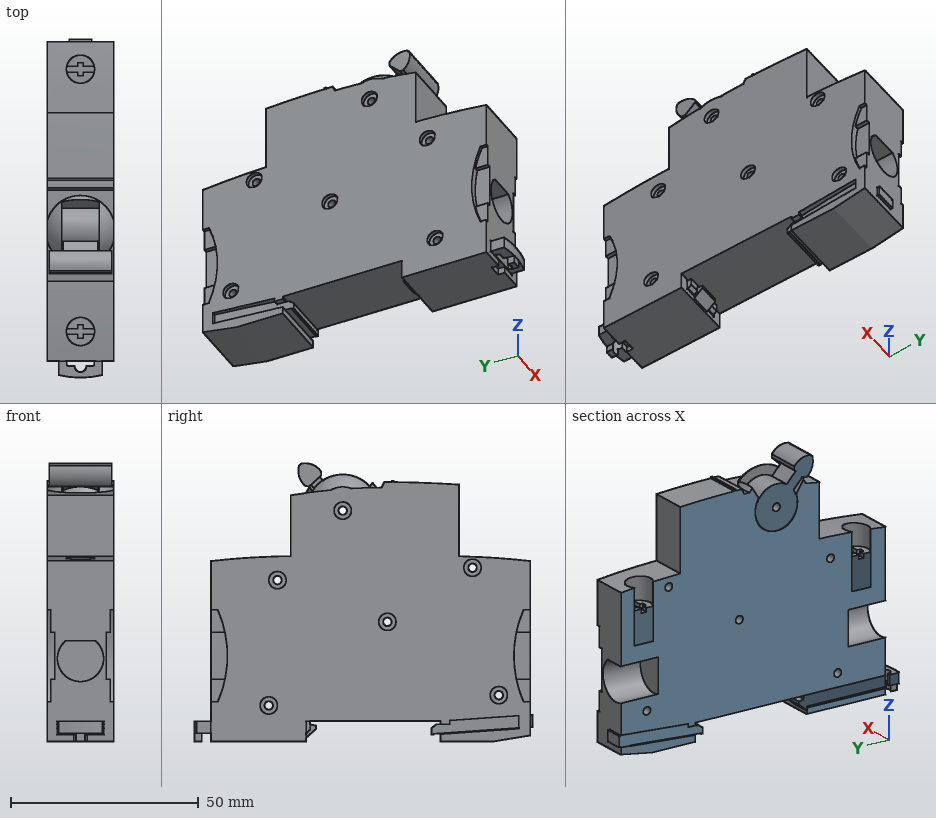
import cadquery as cq

module_width = 17.7
housing_length = 85.0
half_length = housing_length / 2

end_wall_top = 48.1
shoulder_z = 49.4
shoulder_rise_z = 48.95
rear_step_y = 23.55
front_step_y = -21.3
front_strip_y = -rear_step_y
nose_rear_z = 68.45
nose_crest_z = 69.15
nose_crest_y = 3.6
toggle_deck_y = 2.9
toggle_deck_z = 67.65
nose_front_z = 65.6
nose_crown = 0.15
deck_crown = 0.45
rail_rear_y = 18.56
rail_front_y = -17.2
rail_ceiling_z = 5.48
heel_rise_z = 1.65
heel_start_y = 32.4

ridge_y = 5.9
ridge_width = 0.5
ridge_top_z = 69.5

grip_center_z = 22.85
grip_half_height = 12.25
grip_edge_depth_y = 1.8
grip_mid_depth_y = 4.4
grip_core_half_height = 6.25
grip_outer_depth = 0.9
grip_core_depth = 2.0

entry_radius = 6.15
entry_center_z = 22.15
entry_flat_z = 26.9
entry_depth = 12.0
screw_radius = 3.75
screw_height = 10.0
screw_top_z = 42.0
screw_slot_depth = 1.2
cross_width = 1.4
cross_length = 3.5
screws = [(35.15, 1.58), (-34.65, 1.35)]

pivot_y = -7.43
pivot_z = 61.5
rivet_hole_radius = 1.1
rivet_recess_radius = 2.3
rivet_recess_depth = 1.2
rivets = [
    (pivot_y, pivot_z),
    (27.1, 46.3),
    (-24.8, 43.0),
    (4.45, 31.9),
    (34.1, 12.4),
    (-27.1, 9.65),
]

dome_radius = 10.87
slot_width = 10.0
hub_radius = 6.7
slot_wall_run = 0.63
slot_rear_mouth = (7.86, 7.4)
slot_front_mouth = (-8.8, 6.3)
slot_height = 12.0

toggle_angle = 47.2
neck_width = 9.2
neck_thickness = 3.2
handle_width = 16.7
handle_base = 10.75
handle_base_half = 2.2
handle_shoulder = 11.5
handle_shoulder_half = 2.85
handle_side = 14.6
handle_side_half = 2.35
handle_tip = 16.7
handle_tip_half = 0.4

latch_width = 11.7
latch_bottom_z = 2.22
latch_front_y = -46.93
latch_front_sag = 0.7
latch_tip_y = -16.13
latch_tip_bevel = 1.0
latch_channel_width = 12.4
latch_channel_bottom_z = 1.9
notch_width = 7.3
notch_end_y = -43.8
notch_corner_radius = 0.5
thumb_notch_radius = 1.5
thumb_notch_end_y = -45.4
latch_tab_width = 2.48
latch_tab_length = 2.0
tab_groove_width = 3.54
hook_width = 6.0
hook_nose_y = -14.5
hook_nose_top_z = 4.3
hook_nose_bottom_z = 3.4
hook_top_z = 4.64
hook_bottom_z = 1.0

clip_rear_y = 39.46
clip_rear_top_z = 6.95
clip_rear_bottom_z = 3.65
clip_slope = 0.07
clip_floor_gap = 0.12
clip_step_y = 21.0
clip_arm_top_z = 4.68
clip_arm_end_y = 17.5
clip_nose_y = 16.14
clip_nose_top_z = 3.6
clip_nose_bottom_z = 1.9
clip_nose_lip = 0.6
clip_tab_width = 6.1
clip_tab_y = 43.12
clip_bends = [(clip_rear_y, 7.9), (34.2, 7.75), (29.2, 7.7), (25.7, 7.5), (clip_nose_y, 7.2)]


def side_plate(outline, width):
    """Extrude a closed (Y, Z) outline symmetrically about the mid plane X = 0."""
    return outline.close().extrude(width / 2, both=True)


def side_outline(start):
    return cq.Workplane("YZ").moveTo(*start)


def polygon_plate(points, width):
    return cq.Workplane("YZ").polyline(points).close().extrude(width / 2, both=True)


def cross_cylinder(y, z, radius, width):
    """Cylinder along X, centred on the mid plane."""
    return cq.Workplane("YZ").center(y, z).circle(radius).extrude(width / 2, both=True)


def block(x_size, y_range, z_range):
    """Box centred on X = 0 between two Y limits and two Z limits."""
    y_low, y_high = y_range
    z_low, z_high = z_range
    box = cq.Workplane("XY").box(x_size, y_high - y_low, z_high - z_low, centered=(True, False, False))
    return box.translate((0, y_low, z_low))


def clip_top_z(y):
    return clip_rear_top_z + clip_slope * (y - clip_rear_y)


def clip_bottom_z(y):
    return clip_rear_bottom_z + clip_slope * (y - clip_rear_y)


def housing_shell():
    shoulder_mid_y = (half_length + rear_step_y) / 2
    nose_mid_y = (rear_step_y + nose_crest_y) / 2
    nose_mid_z = (nose_rear_z + nose_crest_z) / 2 + nose_crown
    deck_mid_y = (toggle_deck_y + front_step_y) / 2
    deck_mid_z = (toggle_deck_z + nose_front_z) / 2 + deck_crown
    outline = (
        side_outline((half_length, heel_rise_z))
        .lineTo(half_length, end_wall_top)
        .threePointArc((shoulder_mid_y, shoulder_rise_z), (rear_step_y, shoulder_z))
        .lineTo(rear_step_y, nose_rear_z)
        .threePointArc((nose_mid_y, nose_mid_z), (nose_crest_y, nose_crest_z))
        .lineTo(toggle_deck_y, toggle_deck_z)
        .threePointArc((deck_mid_y, deck_mid_z), (front_step_y, nose_front_z))
        .lineTo(front_step_y, shoulder_z)
        .lineTo(front_strip_y, shoulder_z)
        .threePointArc((-shoulder_mid_y, shoulder_rise_z), (-half_length, end_wall_top))
        .lineTo(-half_length, 0)
        .lineTo(rail_front_y, 0)
        .lineTo(rail_front_y, rail_ceiling_z)
        .lineTo(rail_rear_y, rail_ceiling_z)
        .lineTo(rail_rear_y, 0)
        .lineTo(heel_start_y, 0)
    )
    ridge = block(
        module_width,
        (ridge_y - ridge_width / 2, ridge_y + ridge_width / 2),
        (nose_rear_z, ridge_top_z),
    )
    return side_plate(outline, module_width).union(ridge)


def dome():
    ball = cq.Workplane("XY").sphere(dome_radius).translate((0, pivot_y, pivot_z))
    keep = block(
        module_width,
        (pivot_y - dome_radius, pivot_y + dome_radius),
        (pivot_z, pivot_z + dome_radius),
    )
    return ball.intersect(keep)


def toggle_slot():
    """Hub bore with a flared mouth above it."""
    rear_y, rear_z = slot_rear_mouth
    front_y, front_z = slot_front_mouth
    top_points = [
        (rear_y + slot_wall_run * (slot_height - rear_z), slot_height),
        (front_y - slot_wall_run * (slot_height - front_z), slot_height),
    ]
    bottom_points = [
        (front_y + slot_wall_run * front_z, 0),
        (rear_y - slot_wall_run * rear_z, 0),
    ]
    mouth = polygon_plate(top_points + bottom_points, slot_width).translate((0, pivot_y, pivot_z))
    return mouth.union(cross_cylinder(pivot_y, pivot_z, hub_radius, slot_width))


def grip_pair(end):
    """Stepped, arc-backed recesses in both side faces at one end (end = +1 or -1)."""
    edge_y = end * (half_length - grip_edge_depth_y)
    mid_y = end * (half_length - grip_mid_depth_y)
    wall_y = end * half_length
    top_z = grip_center_z + grip_half_height
    bottom_z = grip_center_z - grip_half_height
    outline = (
        side_outline((wall_y, top_z))
        .lineTo(edge_y, top_z)
        .threePointArc((mid_y, grip_center_z), (edge_y, bottom_z))
        .lineTo(wall_y, bottom_z)
    )
    arc_plate = side_plate(outline, module_width)
    core_band = block(
        module_width,
        (-half_length, half_length),
        (grip_center_z - grip_core_half_height, grip_center_z + grip_core_half_height),
    )
    edge_web = arc_plate.intersect(
        block(module_width - 2 * grip_outer_depth, (-half_length, half_length), (bottom_z, top_z))
    )
    core_web = arc_plate.intersect(
        block(module_width - 2 * grip_core_depth, (-half_length, half_length), (bottom_z, top_z))
    )
    outer_recess = arc_plate.cut(edge_web)
    core_recess = arc_plate.intersect(core_band).cut(core_web)
    return outer_recess.union(core_recess)


def cable_entry(end):
    """Round blind hole with a flat roof, entering one end wall (end = +1 or -1)."""
    inner_y = end * (half_length - entry_depth)
    y_range = sorted((inner_y, end * half_length))
    bore = (
        cq.Workplane("XZ", origin=(0, y_range[1], entry_center_z))
        .circle(entry_radius)
        .extrude(entry_depth)
    )
    return bore.intersect(block(module_width, y_range, (entry_center_z - entry_radius, entry_flat_z)))


def screw_well(y):
    bottom_z = screw_top_z - screw_height
    return (
        cq.Workplane("XY", origin=(0, y, bottom_z))
        .circle(screw_radius)
        .extrude(shoulder_z - bottom_z)
    )


def rivet_hole(y, z):
    """Through hole with a shallow round recess on each side face."""
    recess = cross_cylinder(y, z, rivet_recess_radius, module_width)
    web = cross_cylinder(y, z, rivet_recess_radius, module_width - 2 * rivet_recess_depth)
    bore = cross_cylinder(y, z, rivet_hole_radius, module_width)
    return recess.cut(web).union(bore)


def latch_channel():
    y_range = (-half_length, rail_front_y)
    channel = block(latch_channel_width, y_range, (latch_channel_bottom_z, rail_ceiling_z))
    groove = block(
        tab_groove_width,
        (-half_length, -half_length + latch_tab_length),
        (0, latch_channel_bottom_z),
    )
    return channel.union(groove)


def clip_cavity():
    """Slot through the housing that opens into the rail recess."""
    return polygon_plate(
        [
            (clip_rear_y, clip_rear_top_z),
            (clip_step_y, clip_top_z(clip_step_y)),
            (clip_step_y, clip_arm_top_z),
            (rail_rear_y, clip_arm_top_z),
            (rail_rear_y, clip_bottom_z(rail_rear_y) - clip_floor_gap),
            (clip_rear_y, clip_rear_bottom_z - clip_floor_gap),
        ],
        module_width,
    )


def clip_tab():
    """Tail of the clip, running out through the end wall."""
    return polygon_plate(
        [
            (clip_rear_y, clip_rear_top_z),
            (clip_tab_y, clip_top_z(clip_tab_y)),
            (clip_tab_y, clip_bottom_z(clip_tab_y)),
            (clip_rear_y, clip_rear_bottom_z),
        ],
        clip_tab_width,
    )


def make_housing():
    housing = housing_shell().union(dome()).cut(toggle_slot())
    for end in (1, -1):
        housing = housing.cut(grip_pair(end)).cut(cable_entry(end))
    for y, slot_size in screws:
        housing = housing.cut(screw_well(y))
    for y, z in rivets:
        housing = housing.cut(rivet_hole(y, z))
    return housing.cut(latch_channel()).cut(clip_cavity()).cut(clip_tab())


def make_screw(y, slot_size):
    """Plain screw head with a full-width slot along X and a short cross slot along Y."""
    slot_floor_z = screw_top_z - screw_slot_depth
    z_range = (slot_floor_z, screw_top_z)
    head = (
        cq.Workplane("XY", origin=(0, y, screw_top_z - screw_height))
        .circle(screw_radius)
        .extrude(screw_height)
    )
    slot = block(2 * screw_radius, (y - slot_size / 2, y + slot_size / 2), z_range)
    cross = block(cross_width, (y - cross_length / 2, y + cross_length / 2), z_range)
    return head.cut(slot).cut(cross)


def make_toggle():
    """Drawn pointing along -Y with its pivot at the origin, then tilted up into place."""
    hub = cross_cylinder(0, 0, hub_radius, slot_width)
    neck = block(
        neck_width,
        (-handle_base, 0),
        (-neck_thickness / 2, neck_thickness / 2),
    )
    handle_outline = (
        side_outline((-handle_base, handle_base_half))
        .lineTo(-handle_shoulder, handle_shoulder_half)
        .threePointArc((-handle_side, handle_side_half), (-handle_tip, handle_tip_half))
        .lineTo(-handle_tip, -handle_tip_half)
        .threePointArc((-handle_side, -handle_side_half), (-handle_shoulder, -handle_shoulder_half))
        .lineTo(-handle_base, -handle_base_half)
    )
    handle = side_plate(handle_outline, handle_width)
    pivot_hole = cross_cylinder(0, 0, rivet_hole_radius, slot_width)
    toggle = hub.union(neck).union(handle).cut(pivot_hole)
    return toggle.rotate((0, 0, 0), (1, 0, 0), -toggle_angle).translate((0, pivot_y, pivot_z))


def thumb_notch():
    """Rounded window next to the end wall, with a half-round thumb cut in its outer edge."""
    height = rail_ceiling_z
    window_length = -half_length - notch_end_y
    window = (
        cq.Workplane("XY", origin=(0, -half_length - window_length / 2, 0))
        .rect(notch_width, window_length)
        .extrude(height)
        .edges("|Z and <Y")
        .fillet(notch_corner_radius)
    )
    thumb_center_y = thumb_notch_end_y + thumb_notch_radius
    thumb = cq.Workplane("XY", origin=(0, thumb_center_y, 0)).circle(thumb_notch_radius).extrude(height)
    outside = block(notch_width, (thumb_notch_end_y, -half_length), (0, height))
    return window.union(thumb.intersect(outside))


def make_latch():
    corner_y = latch_front_y + latch_front_sag
    plan = (
        cq.Workplane("XY", origin=(0, 0, latch_bottom_z))
        .moveTo(-latch_width / 2, latch_tip_y)
        .lineTo(-latch_width / 2, corner_y)
        .threePointArc((0, latch_front_y), (latch_width / 2, corner_y))
        .lineTo(latch_width / 2, latch_tip_y)
    )
    bar = plan.close().extrude(rail_ceiling_z - latch_bottom_z)
    bar = bar.faces(">Y").edges("<Z").chamfer(latch_tip_bevel)
    tab = block(
        latch_tab_width,
        (latch_front_y, latch_front_y + latch_tab_length),
        (0, latch_bottom_z),
    )
    hook = polygon_plate(
        [
            (rail_front_y, hook_top_z),
            (latch_tip_y, hook_top_z),
            (hook_nose_y, hook_nose_top_z),
            (hook_nose_y, hook_nose_bottom_z),
            (rail_front_y, hook_bottom_z),
        ],
        hook_width,
    )
    return bar.union(tab).union(hook).cut(thumb_notch())


def make_clip():
    profile = polygon_plate(
        [
            (clip_rear_y, clip_rear_top_z),
            (clip_step_y, clip_top_z(clip_step_y)),
            (clip_step_y, clip_arm_top_z),
            (clip_arm_end_y, clip_arm_top_z),
            (clip_nose_y, clip_nose_top_z),
            (clip_nose_y, clip_nose_bottom_z),
            (clip_nose_y + clip_nose_lip, clip_nose_bottom_z),
            (clip_nose_y + clip_nose_lip, clip_bottom_z(clip_nose_y + clip_nose_lip)),
            (clip_rear_y, clip_rear_bottom_z),
        ],
        module_width,
    )
    left_edge = [(-x, y) for y, x in clip_bends]
    right_edge = [(x, y) for y, x in reversed(clip_bends)]
    plan = cq.Workplane("XY").polyline(left_edge + right_edge).close().extrude(clip_rear_top_z)
    return profile.intersect(plan).union(clip_tab())


housing = make_housing()
toggle = make_toggle()
latch = make_latch()
clip = make_clip()
terminal_screws = [make_screw(y, slot_size) for y, slot_size in screws]

result = cq.Compound.makeCompound(
    [body.solids().val() for body in [housing, toggle, latch, clip, *terminal_screws]]
)